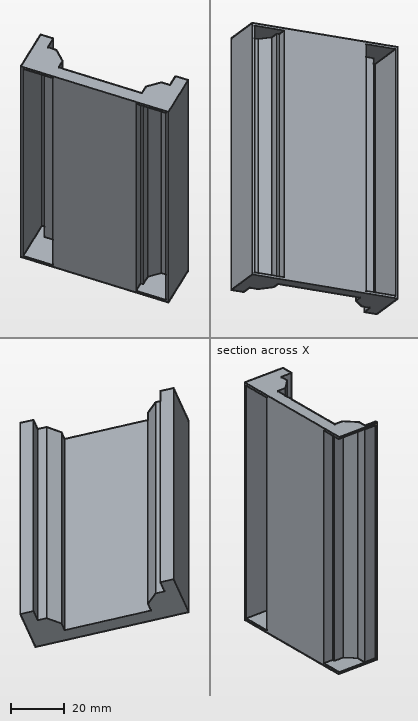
import cadquery as cq
import math

width = 60.0
depth = 18.4
height = 100.0

wall = 1.0
web_thickness = 5.2
rail_width = 13.1
lip_width = 5.2
shoulder_y = 13.3
chamfer = 4.4

half_width = width / 2
rail_x = half_width - rail_width
lip_x = half_width - lip_width

corner_shift = wall * math.tan(math.radians(22.5))


def make_channel():
    """U-shaped channel with stepped, chamfered side rails."""
    right_half = [
        (0, 0),
        (half_width, 0),
        (half_width, depth),
        (lip_x, depth),
        (lip_x, shoulder_y),
        (rail_x + chamfer, shoulder_y),
        (rail_x, shoulder_y - chamfer),
        (rail_x, web_thickness),
        (0, web_thickness),
    ]
    half = cq.Workplane("XY").polyline(right_half).close().extrude(height)
    return half.union(half.mirror("YZ"))


def make_rail_pocket():
    """Right rail cavity, open at the front and one wall inside the section."""
    outer_x = half_width - wall
    inner_x = rail_x + wall
    step_y = web_thickness - wall
    inner_shoulder_y = shoulder_y - wall
    section = [
        (rail_x, 0),
        (outer_x, 0),
        (outer_x, depth - wall),
        (lip_x + wall, depth - wall),
        (lip_x + wall, inner_shoulder_y),
        (rail_x + chamfer + corner_shift, inner_shoulder_y),
        (inner_x, shoulder_y - chamfer - corner_shift),
        (inner_x, step_y),
        (rail_x, step_y),
    ]
    pocket = cq.Workplane("XY").polyline(section).close().extrude(height - 2 * wall)
    return pocket.translate((0, 0, wall))


right_pocket = make_rail_pocket()
left_pocket = right_pocket.mirror("YZ")
result = make_channel().cut(right_pocket).cut(left_pocket)